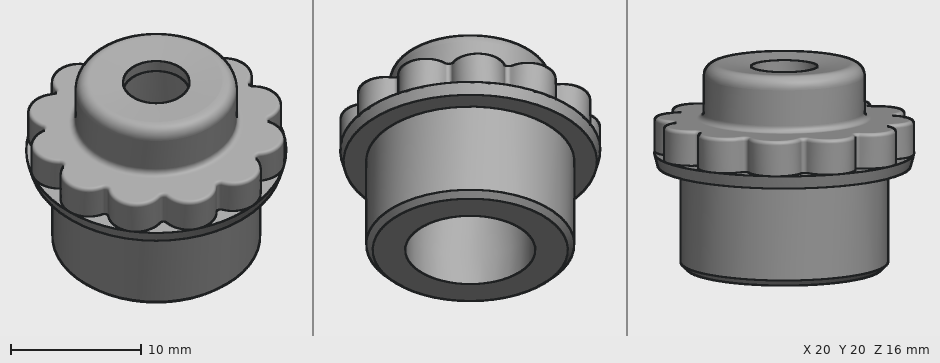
import cadquery as cq
import math

total_height = 16.0
sleeve_height = 8.0
flange_thickness = 1.0
flange_top = sleeve_height + flange_thickness
lobe_top = 11.7

sleeve_radius = 16.0 / 2
sleeve_chamfer = 0.5
flange_top_radius = 10.0
flange_draft = math.radians(15.0)
flange_bottom_radius = flange_top_radius - flange_thickness * math.tan(flange_draft)
boss_radius = 12.4 / 2
boss_top_fillet = 1.0
boss_base_fillet = 0.5

dish_angle = math.radians(5.0)

lobe_count = 12
lobe_radius = 2.14
lobe_pitch_radius = flange_top_radius - lobe_radius
lobe_half_step = math.pi / lobe_count
notch_radius = 0.3
lobe_edge_fillet = 0.3

hole_radius = 5.1 / 2
hole_lip = 1.0
cavity_top_radius = 4.95
cavity_bottom_radius = 5.0


def polar(radius, angle):
    """Cartesian point at the given radius and angle in radians."""
    return (radius * math.cos(angle), radius * math.sin(angle))


def turned_body():
    """Sleeve, flange and dished boss, revolved around the open hole and cavity."""
    fillet_center_radius = boss_radius - boss_top_fillet
    fillet_center_z = total_height - boss_top_fillet
    dish_radius = fillet_center_radius - boss_top_fillet * math.sin(dish_angle)
    dish_edge_z = fillet_center_z + boss_top_fillet * math.cos(dish_angle)
    hole_edge_z = dish_edge_z - (dish_radius - hole_radius) * math.tan(dish_angle)
    lip_bottom = hole_edge_z - hole_lip
    fillet_mid = polar(boss_top_fillet, math.pi / 4)

    profile = (
        cq.Workplane("XZ")
        .moveTo(cavity_bottom_radius, 0)
        .lineTo(sleeve_radius - sleeve_chamfer, 0)
        .lineTo(sleeve_radius, sleeve_chamfer)
        .lineTo(sleeve_radius, sleeve_height)
        .lineTo(flange_bottom_radius, sleeve_height)
        .lineTo(flange_top_radius, flange_top)
        .lineTo(boss_radius, flange_top)
        .lineTo(boss_radius, fillet_center_z)
        .threePointArc(
            (fillet_center_radius + fillet_mid[0], fillet_center_z + fillet_mid[1]),
            (dish_radius, dish_edge_z),
        )
        .lineTo(hole_radius, hole_edge_z)
        .lineTo(hole_radius, lip_bottom)
        .lineTo(cavity_top_radius, lip_bottom)
        .close()
    )
    return profile.revolve(360, (0, 0, 0), (0, 1, 0))


def grip_ring():
    """Ring of round lobes joined by small concave arcs, with a rounded top edge."""
    lobe_offset = lobe_pitch_radius * math.sin(lobe_half_step)
    center_distance = lobe_radius + notch_radius
    notch_reach = math.sqrt(center_distance**2 - lobe_offset**2)
    notch_pitch_radius = lobe_pitch_radius * math.cos(lobe_half_step) + notch_reach
    notch_bottom_radius = notch_pitch_radius - notch_radius

    tangent_share = notch_radius / center_distance
    tangent_x = notch_pitch_radius - notch_reach * tangent_share
    tangent_y = lobe_offset * tangent_share
    tangent_radius = math.hypot(tangent_x, tangent_y)
    tangent_angle = math.atan2(tangent_y, tangent_x)

    ring_height = lobe_top - flange_top
    base_plane = cq.Workplane("XY").workplane(offset=flange_top)
    outline = base_plane.moveTo(*polar(tangent_radius, -tangent_angle))
    for index in range(lobe_count):
        notch_angle = 2 * lobe_half_step * index
        lobe_angle = notch_angle + lobe_half_step
        next_notch_angle = lobe_angle + lobe_half_step
        outline = outline.threePointArc(
            polar(notch_bottom_radius, notch_angle),
            polar(tangent_radius, notch_angle + tangent_angle),
        )
        outline = outline.threePointArc(
            polar(lobe_pitch_radius + lobe_radius, lobe_angle),
            polar(tangent_radius, next_notch_angle - tangent_angle),
        )
    ring = outline.close().extrude(ring_height)
    ring = ring.faces(">Z").edges().fillet(lobe_edge_fillet)
    opening = base_plane.circle(boss_radius).extrude(ring_height)
    return ring.cut(opening)


def boss_root():
    """Concave fillet ring where the boss rises from the grip ring."""
    center_radius = boss_radius + boss_base_fillet
    center_z = lobe_top + boss_base_fillet
    arc_mid = polar(boss_base_fillet, -3 * math.pi / 4)
    profile = (
        cq.Workplane("XZ")
        .moveTo(boss_radius, lobe_top)
        .lineTo(center_radius, lobe_top)
        .threePointArc((center_radius + arc_mid[0], center_z + arc_mid[1]), (boss_radius, center_z))
        .close()
    )
    return profile.revolve(360, (0, 0, 0), (0, 1, 0))


result = turned_body().union(grip_ring()).union(boss_root())